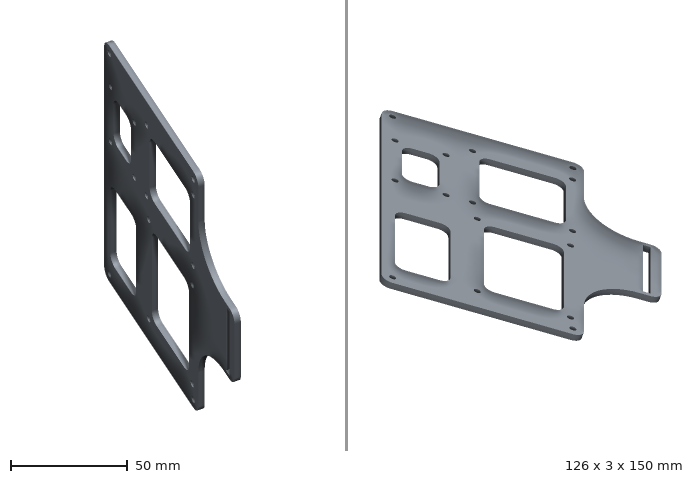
import cadquery as cq

height = 150.0
overall_width = 126.0
body_width = 91.0
thickness = 3.0
corner_radius = 5.0

tab_height = 45.0
blend_radius = 25.0
slot_width = 3.3
slot_height = 40.5
slot_edge_gap = 5.0

hole_diameter = 3.2
corner_hole_inset = 5.0
window_margin = 3.0

mounts = [
    (63.5, 112.5, 45.0, 45.0),
    (64.0, 45.5, 42.0, 63.0),
    (17.5, 107.5, 23.0, 35.0),
]

plain_window_x = 18.5
plain_window_z = 39.0
plain_window_width = 25.0
plain_window_height = 50.0

mid_z = height / 2


def block(center_x, center_z, width, tall):
    """Plate-thick rectangular block."""
    return (
        cq.Workplane("XY")
        .box(width, thickness, tall)
        .translate((center_x, thickness / 2, center_z))
    )


def rounded_block(center_x, center_z, width, tall):
    """Plate-thick block with rounded corners."""
    return block(center_x, center_z, width, tall).edges("|Y").fillet(corner_radius)


def hole_rectangle(center_x, center_z, spacing_x, spacing_z):
    """Four screw-hole cutters at the corners of a rectangle."""
    return (
        cq.Workplane("XZ", origin=(center_x, 0, center_z))
        .rect(spacing_x, spacing_z, forConstruction=True)
        .vertices()
        .circle(hole_diameter / 2)
        .extrude(-thickness)
    )


def tab():
    """Tab with rounded outer corners, widening in arcs where it meets the body."""
    half_tab = tab_height / 2
    blend_x = body_width + blend_radius
    root_half = half_tab + blend_radius
    root = block(
        body_width + blend_radius / 2, mid_z, blend_radius, 2 * root_half
    )
    for side in (1, -1):
        blend_cut = (
            cq.Workplane("XZ", origin=(blend_x, 0, mid_z + side * root_half))
            .circle(blend_radius)
            .extrude(-thickness)
        )
        root = root.cut(blend_cut)
    tongue = block((body_width + overall_width) / 2, mid_z, overall_width - body_width, tab_height)
    return root.union(tongue.edges("|Y and >X").fillet(corner_radius))


result = rounded_block(body_width / 2, mid_z, body_width, height).union(tab())

slot_x = overall_width - slot_edge_gap - slot_width / 2
result = result.cut(block(slot_x, mid_z, slot_width, slot_height))

result = result.cut(
    hole_rectangle(
        body_width / 2,
        mid_z,
        body_width - 2 * corner_hole_inset,
        height - 2 * corner_hole_inset,
    )
)

for x, z, spacing_x, spacing_z in mounts:
    result = result.cut(hole_rectangle(x, z, spacing_x, spacing_z))
    window = rounded_block(x, z, spacing_x - 2 * window_margin, spacing_z - 2 * window_margin)
    result = result.cut(window)

result = result.cut(
    rounded_block(plain_window_x, plain_window_z, plain_window_width, plain_window_height)
)